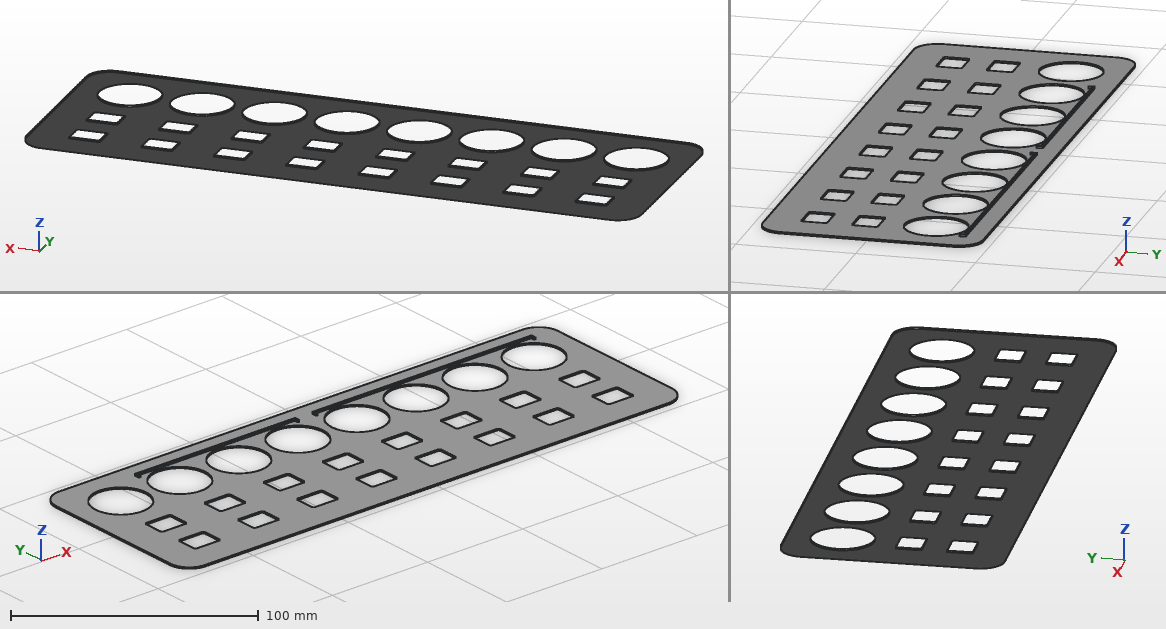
import cadquery as cq

length = 263.7
width = 92.0
base_thickness = 0.8
total_height = 1.6
corner_radius = 10.0

column_count = 8
column_span = 217.3
column_pitch = column_span / (column_count - 1)

hole_diameter = 26.5
first_hole_x = (length - column_span) / 2
hole_back_distance = 23.0
hole_y = width - hole_back_distance

window_length = 13.5
window_width = 10.8
window_corner_radius = 1.0
window_shift = 0.3
first_window_x = first_hole_x + window_shift
front_window_y = 19.8
window_row_pitch = 21.0
window_row_count = 2

bracket_groups = [(1, 3), (4, 7)]
bracket_overhang = 11.0
bracket_line = 0.8
bracket_depth = 2.6
bracket_back_distance = 8.0
bracket_back_y = width - bracket_back_distance
bracket_height = total_height - base_thickness


def column_x(first_x, column):
    return first_x + column * column_pitch


def make_plate():
    plate = cq.Workplane("XY").box(length, width, base_thickness, centered=False)
    return plate.edges("|Z").fillet(corner_radius)


def make_holes():
    centers = [(column_x(first_hole_x, column), hole_y) for column in range(column_count)]
    return cq.Workplane("XY").pushPoints(centers).circle(hole_diameter / 2).extrude(base_thickness)


def make_windows():
    centers = [
        (column_x(first_window_x, column), front_window_y + row * window_row_pitch)
        for row in range(window_row_count)
        for column in range(column_count)
    ]
    windows = cq.Workplane("XY").pushPoints(centers).rect(window_length, window_width)
    return windows.extrude(base_thickness).edges("|Z").fillet(window_corner_radius)


def make_bracket(first_column, last_column):
    """Thin raised line with a short tick toward the holes at each end."""
    left = column_x(first_hole_x, first_column) - bracket_overhang
    right = column_x(first_hole_x, last_column) + bracket_overhang
    line_front_y = bracket_back_y - bracket_line
    tick_front_y = bracket_back_y - bracket_depth
    outline = [
        (left, bracket_back_y),
        (right, bracket_back_y),
        (right, tick_front_y),
        (right - bracket_line, tick_front_y),
        (right - bracket_line, line_front_y),
        (left + bracket_line, line_front_y),
        (left + bracket_line, tick_front_y),
        (left, tick_front_y),
    ]
    top_face = cq.Workplane("XY").workplane(offset=base_thickness)
    return top_face.polyline(outline).close().extrude(bracket_height)


result = make_plate().cut(make_holes()).cut(make_windows())
for first_column, last_column in bracket_groups:
    result = result.union(make_bracket(first_column, last_column))